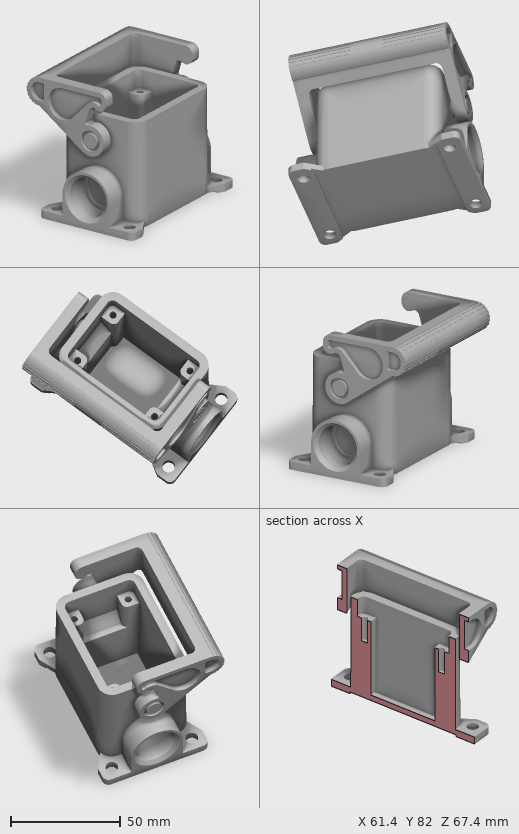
import cadquery as cq
import math

LENGTH = 82.0
HEIGHT = 67.4

BODY_LENGTH = 60.0
BODY_RIM_LENGTH = 59.9
BODY_WIDTH = 43.8
BODY_RIM_WIDTH = 43.1
BODY_BASE_Z = 0.9
RIM_BASE_Z = 50.5
BODY_TOP_Z = 53.0
BODY_CORNER_RADIUS = 7.0

CAVITY_WIDTH = 34.9
CAVITY_FLOOR_WIDTH = 32.6
CAVITY_LENGTH = 52.0
CAVITY_CORNER_RADIUS = 2.95
FLOOR_Z = 4.1

PILLAR_TOP_Z = 43.9
PILLAR_INNER_X = 9.6
PILLAR_INNER_Y = 18.1
PILLAR_RADIUS = 2.6
SCREW_X = 13.45
SCREW_Y = 22.0
SCREW_RADIUS = 1.6
SCREW_DEPTH = 12.3

BLOCK_Z = 27.9
BACK_BLOCK_Y = 20.1
FRONT_SLOPE_Y = 21.1

FLANGE_WIDTH = 52.15
FLANGE_HEIGHT = 3.9
FLANGE_CORNER_RADIUS = 2.95
FLANGE_SIDE_Y = 33.05
FLANGE_NECK_X = 21.5
FLANGE_NECK_Y = 25.25
MOUNT_HOLE_X = 20.0
MOUNT_HOLE_Y = 34.9
MOUNT_HOLE_RADIUS = 2.9

ENTRY_Z = 14.9
ENTRY_RADIUS = 12.95
ENTRY_MOUTH_RADIUS = 11.65
ENTRY_BORE_RADIUS = 9.9
ENTRY_BORE_DEPTH = 13.1
KNOCKOUT_RADIUS = 8.0
KNOCKOUT_DEPTH = 0.8

LEVER_LENGTH = 75.1
LEVER_INNER_LENGTH = 64.0
BAR_INNER_X = -23.9
BAR_INNER_RADIUS = 2.7
BAR_RADIUS = 7.0
BAR_X = -28.3
PIVOT = (0.0, 42.5)
PIVOT_RADIUS = 7.5
TIP_X = 5.0
TIP_RADIUS = 3.6
TIP_LOWER_Z = 61.9
NOTCH_RADIUS = 2.5
NOTCH_Z = 56.8
NOTCH_LEAN = 17.0
HEEL_RADIUS = 1.0

POCKET_MARGIN = 2.5
POCKET_DEPTH = 2.5
POCKET_RADIUS = 7.8
POCKET_X = -15.4
END_POCKET_X = -25.5
END_POCKET_CORNER = 0.7
PIN_RADIUS = 3.7
PIN_GROOVE_RADIUS = 5.1
PIN_GROOVE_DEPTH = 1.6

GRIP_PITCH = 16.0
GRIP_FIRST = -4
GRIP_LAST = 5
GRIP_WIDTH = 0.9
GRIP_DEPTH = 0.29
BADGE_LENGTH = 15.25
BADGE_GRIP_COUNT = 2

SIDES = (-1, 1)
BAR = (BAR_X, HEIGHT - BAR_RADIUS)
TIP_UPPER = (TIP_X, HEIGHT - TIP_RADIUS)
TIP_LOWER = (TIP_X, TIP_LOWER_Z)
NOTCH_REACH = math.sqrt((TIP_RADIUS + NOTCH_RADIUS) ** 2 - (TIP_LOWER_Z - NOTCH_Z) ** 2)
NOTCH = (TIP_X - NOTCH_REACH, NOTCH_Z)


def polar(center, radius, degrees):
    angle = math.radians(degrees)
    return (center[0] + radius * math.cos(angle), center[1] + radius * math.sin(angle))


def direction(start, end):
    return math.degrees(math.atan2(end[1] - start[1], end[0] - start[0]))


def distance(start, end):
    return math.hypot(end[0] - start[0], end[1] - start[1])


def arc(sketch, center, radius, start, end):
    """Arc about center from the start angle to the end angle, in degrees."""
    return sketch.threePointArc(polar(center, radius, (start + end) / 2), polar(center, radius, end))


def rounded_block(width, length, radius, bottom, top):
    return (
        cq.Workplane("XY", origin=(0, 0, bottom))
        .rect(width, length)
        .extrude(top - bottom)
        .edges("|Z")
        .fillet(radius)
    )


def cylinder_y(center, radius, start, end):
    """Cylinder along Y from start to end, at an (x, z) center."""
    return cq.Workplane("XZ", origin=(0, start, 0)).center(*center).circle(radius).extrude(start - end)


def make_body():
    """Slightly tapering shell below a straight rim."""
    shell = (
        cq.Workplane("XY", origin=(0, 0, BODY_BASE_Z))
        .rect(BODY_WIDTH, BODY_LENGTH)
        .workplane(offset=RIM_BASE_Z - BODY_BASE_Z)
        .rect(BODY_RIM_WIDTH, BODY_RIM_LENGTH)
        .loft(ruled=True)
        .edges("not #Z")
        .fillet(BODY_CORNER_RADIUS)
    )
    rim = rounded_block(
        BODY_RIM_WIDTH, BODY_RIM_LENGTH, BODY_CORNER_RADIUS, RIM_BASE_Z, BODY_TOP_Z
    )
    return shell.union(rim)


def make_cavity():
    """Rounded cavity whose long walls lean inwards below the rim."""
    right_wall = [
        (CAVITY_FLOOR_WIDTH / 2, FLOOR_Z),
        (CAVITY_WIDTH / 2, RIM_BASE_Z),
        (CAVITY_WIDTH / 2, BODY_TOP_Z),
    ]
    section = right_wall + [(-x, z) for x, z in reversed(right_wall)]
    leaning = cq.Workplane("XZ").polyline(section).close().extrude(CAVITY_LENGTH / 2, both=True)
    cavity = rounded_block(
        CAVITY_WIDTH, CAVITY_LENGTH, CAVITY_CORNER_RADIUS, FLOOR_Z, BODY_TOP_Z
    ).intersect(leaning)
    for x_side in SIDES:
        for y_side in SIDES:
            cavity = cavity.cut(make_pillar(x_side, y_side))
    return cavity.cut(make_end_blocks())


def make_pillar(x_side, y_side):
    """Corner pillar reaching into the wall, with its inward edge rounded."""
    size_x = BODY_RIM_WIDTH / 2 - PILLAR_INNER_X
    size_y = BODY_LENGTH / 2 - PILLAR_INNER_Y
    center_x = x_side * (PILLAR_INNER_X + size_x / 2)
    center_y = y_side * (PILLAR_INNER_Y + size_y / 2)
    inner_edge = ("<X" if x_side > 0 else ">X", "<Y" if y_side > 0 else ">Y")
    return (
        cq.Workplane("XY")
        .center(center_x, center_y)
        .rect(size_x, size_y)
        .extrude(PILLAR_TOP_Z)
        .faces(inner_edge[0])
        .edges(inner_edge[1])
        .fillet(PILLAR_RADIUS)
    )


def make_end_blocks():
    """Sloped block at the back end and a shelf with a slope at the front end."""
    end_y = CAVITY_LENGTH / 2
    back = [
        (end_y, 0),
        (BACK_BLOCK_Y, 0),
        (BACK_BLOCK_Y, BLOCK_Z),
        (end_y, BLOCK_Z + end_y - BACK_BLOCK_Y),
    ]
    front = [
        (-end_y, 0),
        (-PILLAR_INNER_Y, 0),
        (-PILLAR_INNER_Y, BLOCK_Z),
        (-FRONT_SLOPE_Y, BLOCK_Z),
        (-end_y, BLOCK_Z + end_y - FRONT_SLOPE_Y),
    ]
    blocks = cq.Workplane("YZ").polyline(back).close().extrude(PILLAR_INNER_X, both=True)
    return blocks.union(cq.Workplane("YZ").polyline(front).close().extrude(CAVITY_WIDTH / 2, both=True))


def screw_holes():
    return (
        cq.Workplane("XY", origin=(0, 0, PILLAR_TOP_Z))
        .rect(2 * SCREW_X, 2 * SCREW_Y, forConstruction=True)
        .vertices()
        .circle(SCREW_RADIUS)
        .extrude(-SCREW_DEPTH)
    )


def make_flange(y_side):
    """Mounting flange at one end, cut away under the body."""
    half = FLANGE_WIDTH / 2
    end_y = LENGTH / 2
    right_side = [(half, end_y), (half, FLANGE_SIDE_Y), (FLANGE_NECK_X, FLANGE_NECK_Y)]
    outline = right_side + [(-x, y) for x, y in reversed(right_side)]
    plate = (
        cq.Workplane("XY")
        .polyline([(x, y_side * y) for x, y in outline])
        .close()
        .extrude(FLANGE_HEIGHT)
        .faces(">Y" if y_side > 0 else "<Y")
        .edges("|Z")
        .fillet(FLANGE_CORNER_RADIUS)
    )
    clearance = cq.Workplane("XY").box(FLANGE_WIDTH, BODY_LENGTH, 2 * BODY_BASE_Z)
    return plate.cut(clearance)


def mount_holes():
    return (
        cq.Workplane("XY")
        .rect(2 * MOUNT_HOLE_X, 2 * MOUNT_HOLE_Y, forConstruction=True)
        .vertices()
        .circle(MOUNT_HOLE_RADIUS)
        .extrude(FLANGE_HEIGHT)
    )


def make_entry(y_side):
    """Cable entry boss on a straight foot."""
    start = y_side * (CAVITY_LENGTH + BODY_LENGTH) / 4
    end = y_side * LENGTH / 2
    tube = cylinder_y((0, ENTRY_Z), ENTRY_RADIUS, start, end)
    foot = cq.Workplane("XY", origin=(0, (start + end) / 2, (BODY_BASE_Z + ENTRY_Z) / 2)).box(
        2 * ENTRY_RADIUS, abs(end - start), ENTRY_Z - BODY_BASE_Z
    )
    return tube.union(foot)


def entry_bore(y_side):
    """Countersunk blind bore with a thinned knockout disc at its bottom."""
    countersink = ENTRY_MOUTH_RADIUS - ENTRY_BORE_RADIUS
    mouth = LENGTH / 2
    bottom = mouth - ENTRY_BORE_DEPTH
    profile = [
        (0, mouth),
        (ENTRY_MOUTH_RADIUS, mouth),
        (ENTRY_BORE_RADIUS, mouth - countersink),
        (ENTRY_BORE_RADIUS, bottom),
        (KNOCKOUT_RADIUS, bottom),
        (KNOCKOUT_RADIUS, bottom - KNOCKOUT_DEPTH),
        (0, bottom - KNOCKOUT_DEPTH),
    ]
    bore = (
        cq.Workplane("XY")
        .polyline([(x, y_side * y) for x, y in profile])
        .close()
        .revolve(360, (0, 0, 0), (0, 1, 0))
    )
    return bore.translate((0, 0, ENTRY_Z))


def lever_profile():
    """Side outline of the lever, clockwise from the top of the bar."""
    bar_bottom = polar(BAR, BAR_RADIUS, -90)
    underside = direction(bar_bottom, PIVOT) - math.degrees(
        math.asin(PIVOT_RADIUS / distance(bar_bottom, PIVOT))
    )
    lean = math.radians(NOTCH_LEAN)
    notch_start = polar(NOTCH, NOTCH_RADIUS, 180 - NOTCH_LEAN)
    to_pivot = (PIVOT[0] - notch_start[0], PIVOT[1] - notch_start[1])
    pivot_offset = to_pivot[0] * math.cos(lean) - to_pivot[1] * math.sin(lean)
    pivot_along = -to_pivot[0] * math.sin(lean) - to_pivot[1] * math.cos(lean)
    heel_along = pivot_along - math.sqrt(
        (PIVOT_RADIUS + HEEL_RADIUS) ** 2 - (pivot_offset - HEEL_RADIUS) ** 2
    )
    heel_start = polar(notch_start, heel_along, -90 - NOTCH_LEAN)
    heel = polar(heel_start, HEEL_RADIUS, -NOTCH_LEAN)
    eye_angle = direction(PIVOT, heel)
    tip_angle = direction(NOTCH, TIP_LOWER)

    sketch = cq.Workplane("XZ", origin=(0, LEVER_LENGTH / 2, 0)).moveTo(BAR[0], HEIGHT)
    sketch = sketch.lineTo(TIP_X, HEIGHT)
    sketch = arc(sketch, TIP_UPPER, TIP_RADIUS, 90, 0)
    sketch = sketch.lineTo(TIP_X + TIP_RADIUS, TIP_LOWER_Z)
    sketch = arc(sketch, TIP_LOWER, TIP_RADIUS, 0, tip_angle - 180)
    sketch = arc(sketch, NOTCH, NOTCH_RADIUS, tip_angle, 180 - NOTCH_LEAN)
    sketch = sketch.lineTo(*heel_start)
    sketch = arc(sketch, heel, HEEL_RADIUS, 180 - NOTCH_LEAN, 180 + eye_angle)
    sketch = arc(sketch, PIVOT, PIVOT_RADIUS, eye_angle, underside - 90)
    sketch = sketch.lineTo(*bar_bottom)
    sketch = arc(sketch, BAR, BAR_RADIUS, -90, -270)
    return sketch.close()


def side_pocket():
    """Comma-shaped pocket that follows the outline of the lever arm."""
    round_end = (POCKET_X, HEIGHT - POCKET_MARGIN - POCKET_RADIUS)
    corner_radius = TIP_RADIUS - POCKET_MARGIN
    inner_radius = NOTCH_RADIUS + POCKET_MARGIN
    spread = (POCKET_RADIUS + inner_radius) / distance(round_end, NOTCH)
    slope = direction(round_end, NOTCH) + math.degrees(math.asin(spread))
    tip_angle = direction(NOTCH, TIP_LOWER)

    sketch = cq.Workplane("XZ").moveTo(POCKET_X, HEIGHT - POCKET_MARGIN)
    sketch = sketch.lineTo(TIP_X, HEIGHT - POCKET_MARGIN)
    sketch = arc(sketch, TIP_UPPER, corner_radius, 90, 0)
    sketch = sketch.lineTo(TIP_X + corner_radius, TIP_LOWER_Z)
    sketch = arc(sketch, TIP_LOWER, corner_radius, 0, tip_angle - 180)
    sketch = arc(sketch, NOTCH, inner_radius, tip_angle, slope + 90)
    sketch = sketch.lineTo(*polar(round_end, POCKET_RADIUS, slope - 90))
    sketch = arc(sketch, round_end, POCKET_RADIUS, slope - 90, -270)
    return sketch.close().extrude(POCKET_DEPTH)


def end_pocket():
    """D-shaped pocket in the end of the bar."""
    radius = BAR_RADIUS - POCKET_MARGIN
    sketch = cq.Workplane("XZ").moveTo(BAR[0], BAR[1] + radius)
    sketch = sketch.lineTo(END_POCKET_X, BAR[1] + radius)
    sketch = sketch.lineTo(END_POCKET_X, BAR[1] - radius)
    sketch = sketch.lineTo(BAR[0], BAR[1] - radius)
    sketch = arc(sketch, BAR, radius, -90, -270)
    pocket = sketch.close().extrude(POCKET_DEPTH)
    return pocket.faces(">X").edges("|Y").fillet(END_POCKET_CORNER)


def grip_grooves():
    """Grooves along the bar; the middle ones stop at the smooth badge patch."""
    radial = 2 * GRIP_DEPTH
    full = cq.Workplane("XY").box(radial, LEVER_LENGTH, GRIP_WIDTH)
    interrupted = full.cut(cq.Workplane("XY").box(radial, BADGE_LENGTH, GRIP_WIDTH))
    grooves = cq.Workplane("XY")
    for index in range(GRIP_FIRST, GRIP_LAST + 1):
        groove = interrupted if abs(index) <= BADGE_GRIP_COUNT else full
        placed = groove.translate((BAR[0] - BAR_RADIUS, 0, BAR[1])).rotate(
            (BAR[0], 0, BAR[1]), (BAR[0], 1, BAR[1]), index * GRIP_PITCH
        )
        grooves = grooves.add(placed)
    return grooves.combine()


def make_lever():
    """U-shaped lever: a grip bar with two hooked arms."""
    lever = lever_profile().extrude(LEVER_LENGTH)
    opening_width = 2 * (TIP_X + TIP_RADIUS - BAR_INNER_X)
    opening = (
        cq.Workplane("XY")
        .center(BAR_INNER_X + opening_width / 2, 0)
        .rect(opening_width, LEVER_INNER_LENGTH)
        .extrude(HEIGHT)
        .edges("|Z")
        .fillet(BAR_INNER_RADIUS)
    )
    lever = lever.cut(opening).cut(grip_grooves())
    pin_groove = (
        cq.Workplane("XZ")
        .center(*PIVOT)
        .circle(PIN_GROOVE_RADIUS)
        .circle(PIN_RADIUS)
        .extrude(PIN_GROOVE_DEPTH)
    )
    recesses = side_pocket().union(end_pocket()).union(pin_groove)
    back = recesses.translate((0, LEVER_LENGTH / 2, 0))
    return lever.cut(back).cut(back.mirror("XZ"))


def make_pin(y_side):
    """Pivot pin from the body wall to the outer face of the arm."""
    start = y_side * (CAVITY_LENGTH + BODY_LENGTH) / 4
    return cylinder_y(PIVOT, PIN_RADIUS, start, y_side * LEVER_LENGTH / 2)


result = make_body()
for side in SIDES:
    result = result.union(make_flange(side)).union(make_entry(side))
result = result.cut(make_cavity()).cut(screw_holes()).cut(mount_holes())
for side in SIDES:
    result = result.cut(entry_bore(side)).union(make_pin(side))
result = result.union(make_lever())